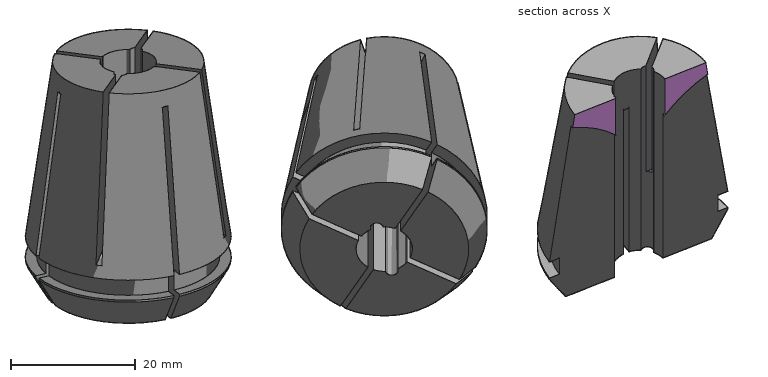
import cadquery as cq
import math

height = 40.0
outer_radius = 16.5
body_taper = 8.0
nose_taper = 30.0

nose_cone_height = 5.15
rim_top = 5.5
groove_top = 9.05
groove_radius = 14.7

bore_radius = 4.5
relief_radius = 1.05
relief_offset = 4.4
relief_angles = (135.0, 315.0)

slot_width = 1.0
saw_radius = 20.0
saw_center_radius = 19.4
slot_reach = 24.0
lower_slot_end = 37.2
upper_slot_end = 11.2
slots_per_set = 4


def cone_radius(z):
    """Radius of the long tapered body at height z."""
    return outer_radius - (z - groove_top) * math.tan(math.radians(body_taper))


def saw_rise(radius):
    """Distance along Z from the saw centre to its edge at a part radius."""
    return math.sqrt(saw_radius**2 - (saw_center_radius - radius)**2)


def make_body():
    nose_radius = outer_radius - nose_cone_height * math.tan(math.radians(nose_taper))
    return (
        cq.Workplane("XZ")
        .moveTo(0, 0)
        .lineTo(nose_radius, 0)
        .lineTo(outer_radius, nose_cone_height)
        .lineTo(outer_radius, rim_top)
        .lineTo(groove_radius, rim_top)
        .lineTo(groove_radius, groove_top)
        .lineTo(outer_radius, groove_top)
        .lineTo(cone_radius(height), height)
        .lineTo(0, height)
        .close()
        .revolve(360, (0, 0, 0), (0, 1, 0))
    )


def make_relief_hole(angle):
    x = relief_offset * math.cos(math.radians(angle))
    y = relief_offset * math.sin(math.radians(angle))
    return cq.Workplane("XY").center(x, y).circle(relief_radius).extrude(height)


def make_slot(open_end, saw_center_z, angle):
    """Radial slot from an end face up to the saw arc."""
    open_length = abs(saw_center_z - open_end)
    open_middle = (saw_center_z + open_end) / 2
    saw = (
        cq.Workplane("XZ")
        .center(saw_center_radius, saw_center_z)
        .circle(saw_radius)
        .extrude(slot_width / 2, both=True)
    )
    passage = cq.Workplane("XY").box(slot_reach, slot_width, open_length)
    passage = passage.translate((slot_reach / 2, 0, open_middle))
    return saw.union(passage).rotate((0, 0, 0), (0, 0, 1), angle)


result = make_body()
result = result.cut(cq.Workplane("XY").circle(bore_radius).extrude(height))
for relief_angle in relief_angles:
    result = result.cut(make_relief_hole(relief_angle))

lower_saw_z = lower_slot_end - saw_rise(cone_radius(lower_slot_end))
upper_saw_z = upper_slot_end + saw_rise(cone_radius(upper_slot_end))
slot_pitch = 360.0 / slots_per_set
for index in range(slots_per_set):
    slot_angle = index * slot_pitch
    result = result.cut(make_slot(0, lower_saw_z, slot_angle))
    result = result.cut(make_slot(height, upper_saw_z, slot_angle + slot_pitch / 2))